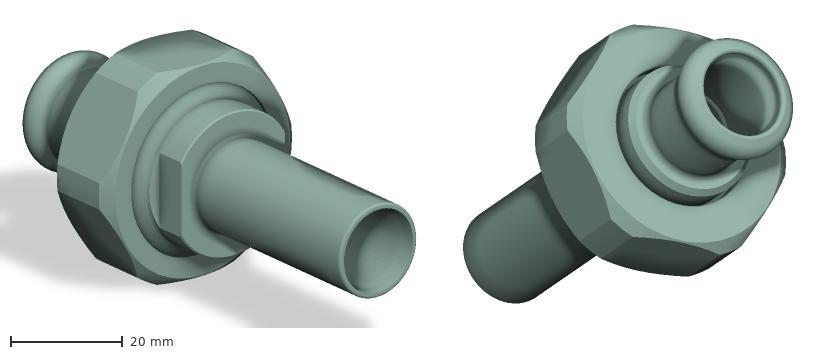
import cadquery as cq
import math


wall = 1.5
tube_outer_radius = 18.3 / 2
tube_bore_radius = tube_outer_radius - wall
mouth_radius = 15.7 / 2
bead_outer_radius = 22.8 / 2
rim_radius = 0.65
bead_arc_radius = 2.75
flank_angle = math.radians(27)
bead_root_radius = 0.6
pipe_stop_x = 19.5
waterway_radius = 14 / 2
waterway_chamfer = 0.25

collar_x = 19.0
collar_radius = 25 / 2
collar_chamfer_length = 1.2
collar_chamfer_depth = 1.0
collar_root_fillet = 0.8
flange_radius = 29.5 / 2
flange_length = 3.0

nut_x = 22.97
nut_length = 16.0
nut_end_x = nut_x + nut_length
nut_across_flats = 41.0
nut_corner_diameter = 44.68
nut_face_diameter = 40.5
nut_chamfer = (nut_corner_diameter - nut_face_diameter) / 2
nut_lip_length = 3.5
nut_lip_radius = 26.5 / 2
nut_lip_chamfer = 0.25
nut_bore_radius = 33.1 / 2

flange_x = nut_x + nut_lip_length
tail_x = flange_x + flange_length
shoulder_radius = 28 / 2
shoulder_root_x = 40.53
cone_angle = math.radians(45)
cone_start_x = shoulder_root_x - (nut_bore_radius - shoulder_radius) / math.tan(cone_angle)
shoulder_root_radius = 0.78
shoulder_end_x = 47.6
shoulder_chamfer = 0.3
shoulder_across_flats = 24.0
flat_start_x = 41.4
runout_start_x = 40.9
spigot_radius = 18 / 2
spigot_bore_radius = 16 / 2
spigot_root_fillet = 0.65
spigot_end_x = 88.5
spigot_end_fillet = 0.5


def revolve_about_x(outline):
    return outline.close().revolve(360, (0, 0, 0), (1, 0, 0))


def offset_from(center, radius, angle):
    """Point on a circle; the angle runs from +X toward the outside."""
    return center[0] + radius * math.cos(angle), center[1] + radius * math.sin(angle)


def make_socket():
    front_normal = math.pi - flank_angle
    rear_normal = flank_angle
    inner_arc_radius = bead_arc_radius - wall
    bead_center_radius = bead_outer_radius - bead_arc_radius

    rim_center = (rim_radius, mouth_radius + rim_radius)
    inner_rim_center = (rim_center[0] + (wall - 2 * rim_radius) / math.cos(flank_angle), rim_center[1])
    rim_rise = rim_center[1] - bead_center_radius
    rim_gap = bead_arc_radius - rim_radius
    bead_center_x = rim_center[0] + (rim_gap - rim_rise * math.sin(flank_angle)) / math.cos(flank_angle)
    bead_center = (bead_center_x, bead_center_radius)

    root_center_radius = tube_outer_radius + bead_root_radius
    root_gap = bead_arc_radius + bead_root_radius
    root_rise = root_center_radius - bead_center[1]
    root_center_x = bead_center_x + (root_gap - root_rise * math.sin(rear_normal)) / math.cos(rear_normal)
    root_center = (root_center_x, root_center_radius)
    inner_root_radius = bead_root_radius + wall
    root_start = math.pi + rear_normal
    root_end = 1.5 * math.pi
    root_middle = (root_start + root_end) / 2

    collar_fillet_turn = collar_root_fillet * math.sin(math.pi / 4)
    collar_fillet_center = (collar_x - collar_root_fillet, tube_outer_radius + collar_root_fillet)

    outline = (
        cq.Workplane("XY")
        .moveTo(*offset_from(rim_center, rim_radius, front_normal))
        .lineTo(*offset_from(bead_center, bead_arc_radius, front_normal))
        .threePointArc(
            (bead_center_x, bead_outer_radius),
            offset_from(bead_center, bead_arc_radius, rear_normal),
        )
        .lineTo(*offset_from(root_center, bead_root_radius, root_start))
        .threePointArc(
            offset_from(root_center, bead_root_radius, root_middle),
            offset_from(root_center, bead_root_radius, root_end),
        )
        .lineTo(collar_x - collar_root_fillet, tube_outer_radius)
        .threePointArc(
            (collar_fillet_center[0] + collar_fillet_turn, collar_fillet_center[1] - collar_fillet_turn),
            (collar_x, collar_fillet_center[1]),
        )
        .lineTo(collar_x, collar_radius - collar_chamfer_depth)
        .lineTo(collar_x + collar_chamfer_length, collar_radius)
        .lineTo(flange_x, collar_radius)
        .lineTo(flange_x, flange_radius)
        .lineTo(tail_x, flange_radius)
        .lineTo(tail_x, waterway_radius)
        .lineTo(pipe_stop_x + waterway_chamfer, waterway_radius)
        .lineTo(pipe_stop_x, waterway_radius + waterway_chamfer)
        .lineTo(pipe_stop_x, tube_bore_radius)
        .lineTo(*offset_from(root_center, inner_root_radius, root_end))
        .threePointArc(
            offset_from(root_center, inner_root_radius, root_middle),
            offset_from(root_center, inner_root_radius, root_start),
        )
        .lineTo(*offset_from(bead_center, inner_arc_radius, rear_normal))
        .threePointArc(
            (bead_center_x, bead_center[1] + inner_arc_radius),
            offset_from(bead_center, inner_arc_radius, front_normal),
        )
        .lineTo(*offset_from(inner_rim_center, rim_radius, -flank_angle))
        .threePointArc(
            offset_from(inner_rim_center, rim_radius, -(flank_angle + math.pi / 2) / 2),
            (inner_rim_center[0], mouth_radius),
        )
        .lineTo(rim_center[0], mouth_radius)
        .threePointArc((0, rim_center[1]), offset_from(rim_center, rim_radius, front_normal))
    )
    return revolve_about_x(outline)


def make_nut():
    hexagon = (
        cq.Workplane("YZ", origin=(nut_x, 0, 0))
        .polygon(6, nut_across_flats, circumscribed=True)
        .extrude(nut_length)
        .rotate((0, 0, 0), (1, 0, 0), 30)
    )
    chamfered_round = (
        cq.Workplane("YZ", origin=(nut_x, 0, 0))
        .circle(nut_corner_diameter / 2)
        .extrude(nut_length)
        .edges()
        .chamfer(nut_chamfer)
    )
    bore = revolve_about_x(
        cq.Workplane("XY")
        .moveTo(nut_x, 0)
        .lineTo(nut_x, nut_lip_radius + nut_lip_chamfer)
        .lineTo(nut_x + nut_lip_chamfer, nut_lip_radius)
        .lineTo(flange_x, nut_lip_radius)
        .lineTo(flange_x, nut_bore_radius)
        .lineTo(nut_end_x, nut_bore_radius)
        .lineTo(nut_end_x, 0)
    )
    return hexagon.intersect(chamfered_round).cut(bore)


def wrench_flat_cutter(side):
    """Prism that cuts one flat with a sloped run-out wall; side is +1 or -1 along Y."""
    return (
        cq.Workplane("XY", origin=(0, 0, -shoulder_radius))
        .moveTo(shoulder_end_x, side * shoulder_across_flats / 2)
        .lineTo(flat_start_x, side * shoulder_across_flats / 2)
        .lineTo(runout_start_x, side * shoulder_radius)
        .lineTo(shoulder_end_x, side * shoulder_radius)
        .close()
        .extrude(2 * shoulder_radius)
    )


def make_tailpiece():
    root_arc_end = shoulder_root_x + shoulder_root_radius * math.tan(cone_angle / 2)
    root_center = (root_arc_end, shoulder_radius + shoulder_root_radius)
    root_arc_start = offset_from(root_center, shoulder_root_radius, 1.5 * math.pi - cone_angle)
    outline = (
        cq.Workplane("XY")
        .moveTo(tail_x, spigot_bore_radius)
        .lineTo(tail_x, nut_bore_radius)
        .lineTo(cone_start_x, nut_bore_radius)
        .lineTo(*root_arc_start)
        .radiusArc((root_arc_end, shoulder_radius), -shoulder_root_radius)
        .lineTo(shoulder_end_x - shoulder_chamfer, shoulder_radius)
        .lineTo(shoulder_end_x, shoulder_radius - shoulder_chamfer)
        .lineTo(shoulder_end_x, spigot_radius + spigot_root_fillet)
        .radiusArc((shoulder_end_x + spigot_root_fillet, spigot_radius), -spigot_root_fillet)
        .lineTo(spigot_end_x - spigot_end_fillet, spigot_radius)
        .radiusArc((spigot_end_x, spigot_radius - spigot_end_fillet), spigot_end_fillet)
        .lineTo(spigot_end_x, spigot_bore_radius)
    )
    tailpiece = revolve_about_x(outline)
    for side in (-1, 1):
        tailpiece = tailpiece.cut(wrench_flat_cutter(side))
    return tailpiece


socket = make_socket()
nut = make_nut()
tailpiece = make_tailpiece()

result = cq.Compound.makeCompound([socket.val(), nut.val(), tailpiece.val()])